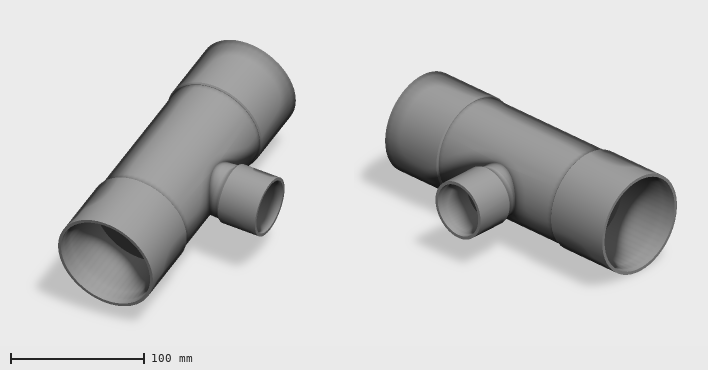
import cadquery as cq

run_length = 226.0
tube_diameter = 78.0
socket_diameter = 81.0
socket_bore = 76.0
socket_length = 54.5
socket_chamfer = 1.1

branch_reach = 79.0
neck_diameter = 42.0
collar_diameter = 42.5
collar_start = 38.2
branch_socket_diameter = 47.0
branch_socket_bore = 42.0
branch_socket_length = 33.5
branch_chamfer = 2.0
branch_chamfer_drop = 1.5

socket_depth = socket_length - socket_chamfer
branch_socket_depth = branch_socket_length - branch_chamfer


def rod(plane, diameter, length):
    """Round bar starting on a plane and running along its normal."""
    return cq.Workplane(plane).circle(diameter / 2).extrude(length)


def end_plane(side):
    """Plane on one end of the run (side = -1 or 1), facing inward."""
    return cq.Plane(
        origin=(0, side * run_length / 2, 0), xDir=(1, 0, 0), normal=(0, -side, 0)
    )


def socket_body(plane, diameter, length, chamfer, drop):
    """Socket with its mouth on the plane; the inner end tapers by drop over the chamfer length."""
    straight = rod(plane, diameter, length - chamfer)
    inner_end = (
        cq.Workplane(plane)
        .workplane(offset=length - chamfer)
        .circle(diameter / 2)
        .workplane(offset=chamfer)
        .circle(diameter / 2 - drop)
        .loft(combine=True)
    )
    return straight.union(inner_end)


branch_plane = cq.Plane(origin=(branch_reach, 0, 0), xDir=(0, 1, 0), normal=(-1, 0, 0))

result = rod(end_plane(-1), tube_diameter, run_length)
result = result.union(rod(branch_plane, neck_diameter, branch_reach))
result = result.union(rod(branch_plane, collar_diameter, collar_start))
result = result.union(
    socket_body(
        branch_plane,
        branch_socket_diameter,
        branch_socket_length,
        branch_chamfer,
        branch_chamfer_drop,
    )
)
for side in (-1, 1):
    result = result.union(
        socket_body(
            end_plane(side),
            socket_diameter,
            socket_length,
            socket_chamfer,
            socket_chamfer,
        )
    )

for side in (-1, 1):
    result = result.cut(rod(end_plane(side), socket_bore, socket_depth))
result = result.cut(rod(branch_plane, branch_socket_bore, branch_socket_depth))